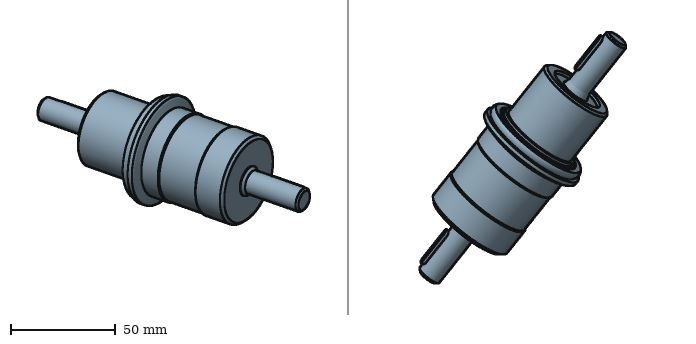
import cadquery as cq

length = 150.0
left_end = -length / 2
right_end = length / 2
shaft_radius = 6.0
shaft_chamfer = 1.0
exposed_shaft = 30.0

left_face = left_end + 31.8
left_radius = 19.0
left_chamfer = 1.2
recess_floor = left_face + 1.5
recess_radius = 13.5
recess_floor_radius = 13.0
left_cone_radius = 7.0

spigot_start = left_end + 61.0
spigot_radius = 20.5
flange_start = left_end + 62.7
face_groove_outer = 22.5
face_groove_inner = 21.9
face_groove_depth = 0.5
crown_x = left_end + 64.6
crown_radius = 26.4
crown_edge_radius = 25.5
rim_start = left_end + 66.9
rim_diameter = 55.0
rim_radius = rim_diameter / 2
rim_flat_end = left_end + 69.3
rim_cone_start = left_end + 70.0
rim_cone_radius = 26.4
flange_end = left_end + 71.4

right_radius = 22.5
relief_radius = 22.0
relief_start = left_end + 80.8
relief_end = left_end + 102.6
relief_taper = 0.6
right_face = left_end + 118.0
right_chamfer = 1.5
collar_radius = 7.5
collar_width = 0.3

key_length = 20.7
key_width = 4.5
key_height = 7.4
key_inset = 3.6


def crown_arc_radius(run):
    """Radius of an arc that is level at the crown and drops to the edge over the given run."""
    drop = crown_radius - crown_edge_radius
    return (run**2 + drop**2) / (2 * drop)


def make_body():
    """Revolve the half-section (X, radius) around the shaft axis."""
    front_arc = crown_arc_radius(crown_x - flange_start)
    rear_arc = crown_arc_radius(rim_start - crown_x)
    profile = (
        cq.Workplane("XY")
        .moveTo(left_end, 0)
        .lineTo(left_end, shaft_radius - shaft_chamfer)
        .lineTo(left_end + shaft_chamfer, shaft_radius)
        .lineTo(left_end + exposed_shaft, shaft_radius)
        .lineTo(recess_floor, left_cone_radius)
        .lineTo(recess_floor, recess_floor_radius)
        .lineTo(left_face, recess_radius)
        .lineTo(left_face, left_radius - left_chamfer)
        .lineTo(left_face + left_chamfer, left_radius)
        .lineTo(spigot_start, left_radius)
        .lineTo(spigot_start, spigot_radius)
        .lineTo(flange_start, spigot_radius)
        .lineTo(flange_start, face_groove_inner)
        .lineTo(flange_start + face_groove_depth, face_groove_inner)
        .lineTo(flange_start + face_groove_depth, face_groove_outer)
        .lineTo(flange_start, face_groove_outer)
        .lineTo(flange_start, crown_edge_radius)
        .radiusArc((crown_x, crown_radius), front_arc)
        .radiusArc((rim_start, crown_edge_radius), rear_arc)
        .lineTo(rim_start, rim_radius)
        .lineTo(rim_flat_end, rim_radius)
        .lineTo(rim_cone_start, rim_cone_radius)
        .lineTo(flange_end, right_radius)
        .lineTo(relief_start, right_radius)
        .lineTo(relief_start + relief_taper, relief_radius)
        .lineTo(relief_end - relief_taper, relief_radius)
        .lineTo(relief_end, right_radius)
        .lineTo(right_face - right_chamfer, right_radius)
        .lineTo(right_face, right_radius - right_chamfer)
        .lineTo(right_face, collar_radius)
        .lineTo(right_face + collar_width, collar_radius)
        .lineTo(right_end - exposed_shaft, shaft_radius)
        .lineTo(right_end - shaft_chamfer, shaft_radius)
        .lineTo(right_end, shaft_radius - shaft_chamfer)
        .lineTo(right_end, 0)
        .close()
    )
    return profile.revolve(360, (0, 0, 0), (1, 0, 0))


def make_key(center_x):
    """Build a key from the shaft axis out to its top in +Y."""
    return (
        cq.Workplane("XZ")
        .center(center_x, 0)
        .slot2D(key_length, key_width)
        .extrude(-key_height)
    )


result = make_body()
key_offset = length / 2 - key_inset - key_length / 2
for key_x in (-key_offset, key_offset):
    result = result.union(make_key(key_x))